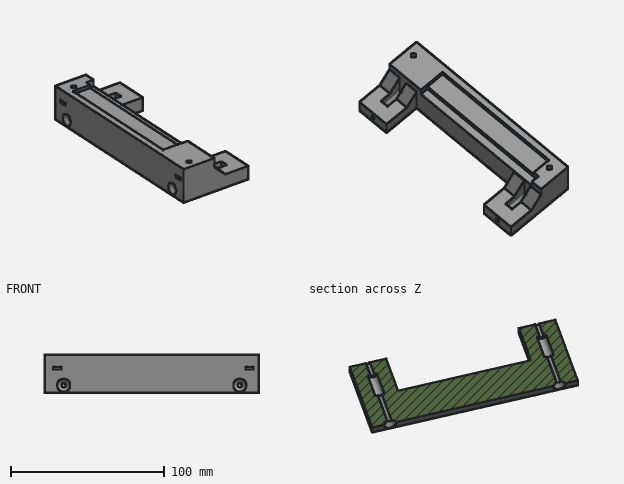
import cadquery as cq

length = 140.0
bar_depth = 25.0
bar_height = 25.05

total_depth = 52.75
leg_width = 25.0
foot_height = 10.0
ramp_run = 9.0
ramp_top = foot_height + ramp_run

screw_from_end = leg_width / 2
screw_z = 5.0
screw_diameter = 2.5
countersink_diameter = 8.5
countersink_depth = (countersink_diameter - screw_diameter) / 2
groove_width = 6.0
groove_end_y = 42.25

pin_from_left = 8.25
pin_from_right = 6.2
pin_y = 9.0
pin_diameter = 3.5
slot_width = 5.5
slot_height = 1.8
slot_z = 16.15
slot_depth = pin_y + slot_width / 2
pin_depth = bar_height - slot_z + slot_height / 2

recess_right_x = 111.0
pocket_left_x = 12.75
pocket_front_y = 5.0
pocket_depth = 2.3
ledge_left_x = 8.5
ledge_front_y = 19.0
ledge_depth = 4.8


def box(x_min, x_max, y_min, y_max, z_min, z_max):
    size = (x_max - x_min, y_max - y_min, z_max - z_min)
    return cq.Workplane("XY").box(*size, centered=False).translate((x_min, y_min, z_min))


def rod(diameter, x, y_min, y_max):
    """Cylinder along +Y on the screw axis at the given x."""
    start = cq.Vector(x, y_min, screw_z)
    return cq.Workplane(cq.Solid.makeCylinder(diameter / 2, y_max - y_min, start, cq.Vector(0, 1, 0)))


def leg(x_min):
    profile = [
        (bar_depth, 0),
        (total_depth, 0),
        (total_depth, foot_height),
        (bar_depth + ramp_run, foot_height),
        (bar_depth, ramp_top),
    ]
    return cq.Workplane("YZ", origin=(x_min, 0, 0)).polyline(profile).close().extrude(leg_width)


def screw_cut(x):
    """Through hole, front countersink and the groove open to the top of the leg."""
    cone = cq.Solid.makeCone(
        countersink_diameter / 2,
        screw_diameter / 2,
        countersink_depth,
        cq.Vector(x, 0, screw_z),
        cq.Vector(0, 1, 0),
    )
    groove = rod(groove_width, x, bar_depth, groove_end_y)
    groove_opening = box(
        x - groove_width / 2, x + groove_width / 2, bar_depth, groove_end_y, screw_z, ramp_top
    )
    return rod(screw_diameter, x, 0, total_depth).union(cone).union(groove).union(groove_opening)


def pin_cut(x):
    """Blind hole from the top, reaching the floor of the slot that crosses it."""
    hole = (
        cq.Workplane("XY", origin=(x, pin_y, bar_height - pin_depth))
        .circle(pin_diameter / 2)
        .extrude(pin_depth)
    )
    slot = box(
        x - slot_width / 2,
        x + slot_width / 2,
        0,
        slot_depth,
        slot_z - slot_height / 2,
        slot_z + slot_height / 2,
    )
    return hole.union(slot)


def recess_cut():
    """Shallow pocket with a deeper ledge behind it that is open to the rear."""
    pocket = box(
        pocket_left_x, recess_right_x, pocket_front_y, bar_depth, bar_height - pocket_depth, bar_height
    )
    ledge = box(
        ledge_left_x, recess_right_x, ledge_front_y, bar_depth, bar_height - ledge_depth, bar_height
    )
    return pocket.union(ledge)


result = box(0, length, 0, bar_depth, 0, bar_height)
for leg_x in (0, length - leg_width):
    result = result.union(leg(leg_x))
for screw_x in (screw_from_end, length - screw_from_end):
    result = result.cut(screw_cut(screw_x))
for pin_x in (pin_from_left, length - pin_from_right):
    result = result.cut(pin_cut(pin_x))
result = result.cut(recess_cut())